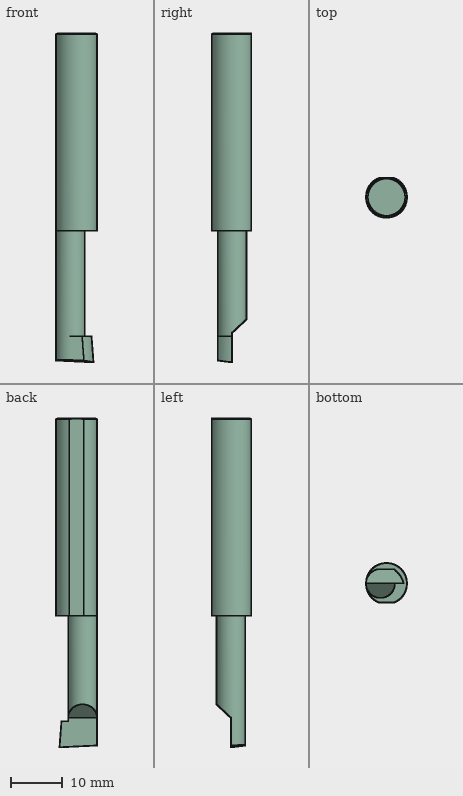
import cadquery as cq
import math

total_length = 63.5
shank_diameter = 7.95
shank_length = 38.1
flat_depth = 0.25
flat_y = shank_diameter / 2 - flat_depth
chamfer_radial = 0.4
chamfer_height = 0.2

neck_diameter = 5.6
neck_radius = neck_diameter / 2
neck_x = neck_radius - shank_diameter / 2

relief_height = 5.7
relief_angle = 43.0

head_height = 5.1
head_corner_x = 1.1
bevel_size = 0.7
cutting_edge_x = 2.9
head_lean = 0.4

end_slope_x = 2.8
end_slope_y = 5.5
cutter_size = 2 * shank_diameter


def make_shank():
    bottom_z = total_length - shank_length
    radius = shank_diameter / 2
    shank = (
        cq.Workplane("XZ")
        .moveTo(0, bottom_z)
        .lineTo(radius, bottom_z)
        .lineTo(radius, total_length - chamfer_height)
        .lineTo(radius - chamfer_radial, total_length)
        .lineTo(0, total_length)
        .close()
        .revolve(360, (0, 0, 0), (0, 1, 0))
    )
    beyond_flat = (
        cq.Workplane("XY", origin=(0, flat_y, bottom_z))
        .rect(cutter_size, cutter_size)
        .extrude(shank_length)
        .translate((0, cutter_size / 2, 0))
    )
    return shank.cut(beyond_flat)


def make_neck():
    neck = (
        cq.Workplane("XY")
        .center(neck_x, 0)
        .circle(neck_radius)
        .extrude(total_length - shank_length)
    )
    runout_rise = neck_diameter * math.tan(math.radians(relief_angle))
    relief = (
        cq.Workplane("YZ")
        .polyline([
            (0, 0),
            (0, relief_height),
            (neck_diameter, relief_height + runout_rise),
            (neck_diameter, 0),
        ])
        .close()
        .extrude(cutter_size / 2, both=True)
    )
    return neck.cut(relief)


def head_outline(z, lean):
    """Closed head section at height z, with its +X side moved out by lean."""
    corner_x = head_corner_x + lean
    bevel_end = (corner_x + bevel_size, bevel_size - neck_radius)
    tip = (cutting_edge_x + lean, 0)
    outline = (
        cq.Workplane("XY", origin=(0, 0, z))
        .moveTo(neck_x, 0)
        .lineTo(neck_x, -neck_radius)
        .lineTo(corner_x, -neck_radius)
        .lineTo(*bevel_end)
        .tangentArcPoint(tip, relative=False)
        .close()
    )
    return outline.val()


def make_head():
    sections = [head_outline(0, head_lean), head_outline(head_height, 0)]
    return cq.Workplane(cq.Solid.makeLoft(sections, True))


def make_end_clearance():
    """Block below the sloped end face that passes through the cutting corner."""
    normal = (
        math.tan(math.radians(end_slope_x)),
        math.tan(math.radians(end_slope_y)),
        1,
    )
    corner = (cutting_edge_x + head_lean, 0, 0)
    end_plane = cq.Plane(origin=corner, xDir=(0, 1, -normal[1]), normal=normal)
    return (
        cq.Workplane(end_plane)
        .rect(2 * cutter_size, 2 * cutter_size)
        .extrude(-cutter_size)
    )


tip = make_neck().union(make_head()).cut(make_end_clearance())
result = make_shank().union(tip)